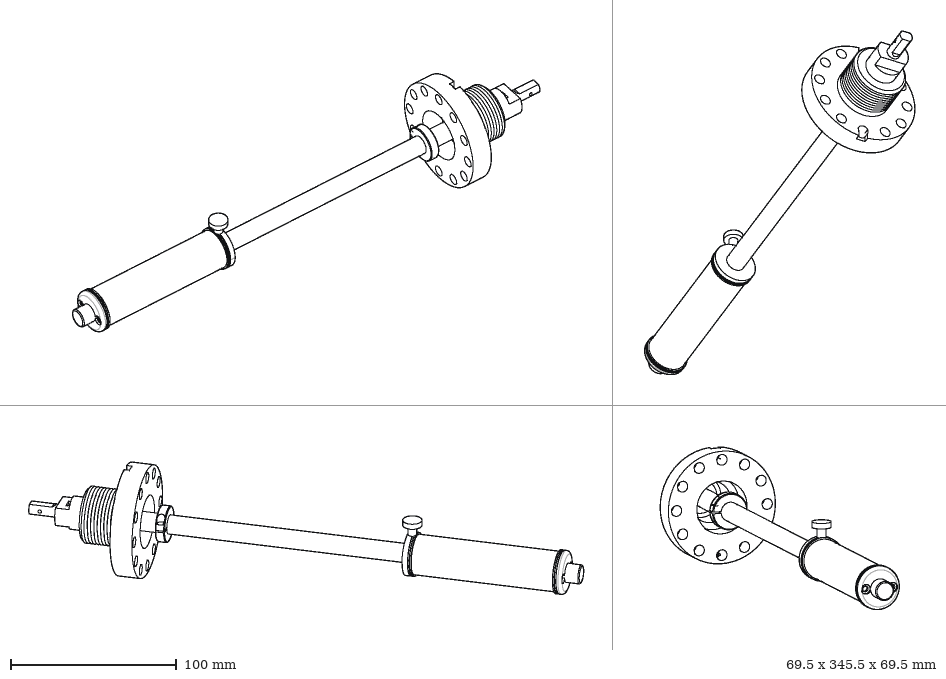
import cadquery as cq

TOTAL_LENGTH = 345.5

FLANGE_DIAMETER = 69.5
FLANGE_THICKNESS = 13.8
BORE_DIAMETER = 32.5
BOLT_COUNT = 12
BOLT_CIRCLE_DIAMETER = 58.8
BOLT_HOLE_DIAMETER = 6.5
LEAK_GROOVE_WIDTH = 6.0
LEAK_GROOVE_DEPTH = 3.5
LEAK_GROOVE_LENGTH = 7.0

HUB_DIAMETER = 35.0
HUB_LENGTH = 4.5
INNER_DIAMETER = 25.5
FOLD_COUNT = 8
FOLD_PITCH = 2.0
FOLD_CREST_RADIUS = HUB_DIAMETER / 2
FOLD_HEIGHT = 3.5
CAP_THICKNESS = 3.5
CAP_CHAMFER = 1.7

NOSE_DIAMETER = 20.5
NOSE_LENGTH = 17.0
NOSE_FLAT_LENGTH = 8.3
NOSE_FLAT_WIDTH = 11.8
NOSE_POCKET_WIDTH = 6.0
NOSE_POCKET_LENGTH = 3.0
NOSE_POCKET_DEPTH = 1.7
TIP_DIAMETER = 8.3
TIP_LENGTH = 18.0
TIP_FLAT_WIDTH = 6.5
TIP_FLAT_LENGTH = 14.0
TIP_RAMP_LENGTH = 1.7
PIN_HOLE_DIAMETER = 2.0
PIN_HOLE_FROM_END = 7.0

ROD_DIAMETER = 11.8
COLLAR_DIAMETER = 22.5
COLLAR_LENGTH = 6.0
COLLAR_GAP = 8.0
COLLAR_CHAMFER = 0.52
COLLAR_SLIT_WIDTH = 1.0
CLAMP_POCKET_DIAMETER = 5.0
CLAMP_POCKET_OFFSET = 8.5
CLAMP_POCKET_FLOOR = 4.0

HANDLE_GAP = 163.5
HANDLE_LENGTH = 100.0
HANDLE_DIAMETER = 25.0
RING_DIAMETER = 27.0
RING_LENGTH = 5.5
RING_GROOVE_DEPTH = 0.52
RING_GROOVE_WIDTH = 1.0
RING_GROOVE_OFFSET = 1.0
END_FILLET = 2.0
ROD_END_CHAMFER = 0.7
SPANNER_HOLE_DIAMETER = 3.5
SPANNER_RECESS_DIAMETER = 6.0
SPANNER_RECESS_DEPTH = 1.5
SPANNER_HOLE_RADIUS = 8.5
SPANNER_HOLE_DEPTH = 3.5

KNOB_DIAMETER = 11.8
KNOB_HEIGHT = 3.5
KNOB_TOP = 22.8
STEM_DIAMETER = 5.5

HUB_START = FLANGE_THICKNESS
BELLOWS_START = HUB_START + HUB_LENGTH
CAP_START = BELLOWS_START + FOLD_COUNT * FOLD_PITCH
NOSE_START = CAP_START + CAP_THICKNESS
TIP_START = NOSE_START + NOSE_LENGTH
TIP_END = TIP_START + TIP_LENGTH
ROD_END = TIP_END - TOTAL_LENGTH
COLLAR_START = -COLLAR_GAP - COLLAR_LENGTH
HANDLE_TOP = -HANDLE_GAP
HANDLE_BOTTOM = HANDLE_TOP - HANDLE_LENGTH


def cylinder(diameter, start, end):
    """Round bar on the Y axis between two stations."""
    plane = cq.Workplane("XZ", origin=(0, end, 0))
    return plane.circle(diameter / 2).extrude(end - start)


def box(width, height, start, end):
    """Block centred on the Y axis between two stations."""
    plane = cq.Workplane("XZ", origin=(0, end, 0))
    return plane.rect(width, height).extrude(end - start)


def with_flats(bar, flat_width, diameter, start, end):
    """Cut two flats, facing +Z and -Z, on a stretch of a round bar."""
    waste = cylinder(2 * diameter, start, end).cut(box(2 * diameter, flat_width, start, end))
    return bar.cut(waste)



def make_flange():
    flange = cylinder(FLANGE_DIAMETER, 0, FLANGE_THICKNESS)
    bolt_holes = (
        cq.Workplane("XZ")
        .polarArray(BOLT_CIRCLE_DIAMETER / 2, 0, 360, BOLT_COUNT)
        .circle(BOLT_HOLE_DIAMETER / 2)
        .extrude(-FLANGE_THICKNESS)
    )
    flange = flange.cut(bolt_holes)
    for side in (1, -1):
        groove = cq.Workplane("XY").box(LEAK_GROOVE_WIDTH, 2 * LEAK_GROOVE_DEPTH, 2 * LEAK_GROOVE_LENGTH)
        flange = flange.cut(groove.translate((0, FLANGE_THICKNESS, side * FLANGE_DIAMETER / 2)))
    return flange.union(cylinder(HUB_DIAMETER, HUB_START, BELLOWS_START))


def make_bore():
    """Straight bore through the flange, tapering in the hub to the narrower bellows bore."""
    outline = [
        (0, 0),
        (BORE_DIAMETER / 2, 0),
        (BORE_DIAMETER / 2, HUB_START),
        (INNER_DIAMETER / 2, BELLOWS_START),
        (INNER_DIAMETER / 2, CAP_START),
        (0, CAP_START),
    ]
    return cq.Workplane("XY").polyline(outline).close().revolve(360, (0, 0, 0), (0, 1, 0))


def make_bellows():
    """Zigzag profile turned about Y: crests at both ends, one valley per fold."""
    outline = [(0, BELLOWS_START)]
    for fold in range(FOLD_COUNT):
        start = BELLOWS_START + fold * FOLD_PITCH
        outline.append((FOLD_CREST_RADIUS, start))
        outline.append((FOLD_CREST_RADIUS - FOLD_HEIGHT, start + FOLD_PITCH / 2))
    outline.append((FOLD_CREST_RADIUS, CAP_START))
    outline.append((0, CAP_START))
    return cq.Workplane("XY").polyline(outline).close().revolve(360, (0, 0, 0), (0, 1, 0))


def make_cap():
    cap = cylinder(HUB_DIAMETER, CAP_START, NOSE_START).faces(">Y").chamfer(CAP_CHAMFER)
    return cap.cut(cylinder(NOSE_DIAMETER, CAP_START, NOSE_START))


def make_bellows_flange():
    return make_flange().union(make_bellows()).cut(make_bore()).union(make_cap())



def make_nose():
    nose = cylinder(NOSE_DIAMETER, CAP_START, TIP_START)
    flat_start = TIP_START - NOSE_FLAT_LENGTH
    nose = with_flats(nose, NOSE_FLAT_WIDTH, NOSE_DIAMETER, flat_start, TIP_START)
    pocket = cq.Workplane("XY").box(NOSE_POCKET_WIDTH, NOSE_POCKET_LENGTH, 2 * NOSE_POCKET_DEPTH)
    pocket = pocket.translate((0, flat_start + NOSE_POCKET_LENGTH / 2, NOSE_FLAT_WIDTH / 2))
    return nose.cut(pocket)


def make_tip():
    """Round tip with two flats that ramp out to the full diameter, and a cross pin hole."""
    flat_start = TIP_END - TIP_FLAT_LENGTH
    tip = cylinder(TIP_DIAMETER, TIP_START, TIP_END)
    flat_waste = (
        cq.Workplane("YZ")
        .polyline([
            (TIP_END, TIP_FLAT_WIDTH / 2),
            (flat_start, TIP_FLAT_WIDTH / 2),
            (flat_start - TIP_RAMP_LENGTH, TIP_DIAMETER / 2),
            (TIP_END, TIP_DIAMETER / 2),
        ])
        .close()
        .extrude(TIP_DIAMETER, both=True)
    )
    pin_hole = (
        cq.Workplane("YZ")
        .center(TIP_END - PIN_HOLE_FROM_END, 0)
        .circle(PIN_HOLE_DIAMETER / 2)
        .extrude(TIP_DIAMETER, both=True)
    )
    return tip.cut(flat_waste).cut(flat_waste.mirror("XY")).cut(pin_hole)


def make_collar():
    """Clamp collar: slit on the -X side, with a pocket for the clamp screw above the slit."""
    middle = COLLAR_START + COLLAR_LENGTH / 2
    collar = cylinder(COLLAR_DIAMETER, COLLAR_START, COLLAR_START + COLLAR_LENGTH)
    collar = collar.faces("<Y or >Y").chamfer(COLLAR_CHAMFER)
    slit = cq.Workplane("XY").box(COLLAR_DIAMETER / 2, COLLAR_LENGTH, COLLAR_SLIT_WIDTH)
    pocket = (
        cq.Workplane("XY", origin=(-CLAMP_POCKET_OFFSET, middle, CLAMP_POCKET_FLOOR))
        .circle(CLAMP_POCKET_DIAMETER / 2)
        .extrude(COLLAR_DIAMETER / 2)
    )
    return collar.cut(slit.translate((-COLLAR_DIAMETER / 4, middle, 0))).cut(pocket)


def make_ring(start, groove_start):
    """Raised end ring of the handle with one shallow groove around it."""
    ring = cylinder(RING_DIAMETER, start, start + RING_LENGTH)
    groove_end = groove_start + RING_GROOVE_WIDTH
    groove = cylinder(RING_DIAMETER, groove_start, groove_end).cut(
        cylinder(RING_DIAMETER - 2 * RING_GROOVE_DEPTH, groove_start, groove_end)
    )
    return ring.cut(groove)


def make_spanner_hole(x):
    """Stepped hole in the -Y end of the handle."""
    plane = cq.Workplane("XZ", origin=(x, HANDLE_BOTTOM, 0))
    hole = plane.circle(SPANNER_HOLE_DIAMETER / 2).extrude(-SPANNER_HOLE_DEPTH)
    recess = plane.circle(SPANNER_RECESS_DIAMETER / 2).extrude(-SPANNER_RECESS_DEPTH)
    return hole.union(recess)


def make_handle():
    grip = cylinder(HANDLE_DIAMETER, HANDLE_BOTTOM, HANDLE_TOP)
    upper_start = HANDLE_TOP - RING_LENGTH
    upper_ring = make_ring(upper_start, upper_start + RING_GROOVE_OFFSET)
    lower_end = HANDLE_BOTTOM + RING_LENGTH
    lower_ring = make_ring(HANDLE_BOTTOM, lower_end - RING_GROOVE_OFFSET - RING_GROOVE_WIDTH)
    handle = grip.union(lower_ring).union(upper_ring)
    handle = handle.faces("<Y").edges().fillet(END_FILLET)
    for side in (1, -1):
        handle = handle.cut(make_spanner_hole(side * SPANNER_HOLE_RADIUS))
    return handle


def make_thumbscrew():
    station = HANDLE_TOP - RING_LENGTH / 2
    knob_bottom = KNOB_TOP - KNOB_HEIGHT
    stem = cq.Workplane("XY").center(0, station).circle(STEM_DIAMETER / 2).extrude(knob_bottom)
    knob = (
        cq.Workplane("XY", origin=(0, station, knob_bottom)).circle(KNOB_DIAMETER / 2).extrude(KNOB_HEIGHT)
    )
    return stem.union(knob)


def make_wand():
    wand = cylinder(ROD_DIAMETER, ROD_END, CAP_START).faces("<Y").chamfer(ROD_END_CHAMFER)
    for piece in (make_nose(), make_tip(), make_collar(), make_handle(), make_thumbscrew()):
        wand = wand.union(piece)
    return wand


bellows_flange = make_bellows_flange()
wand = make_wand()

result = cq.Compound.makeCompound([bellows_flange.val(), wand.val()])